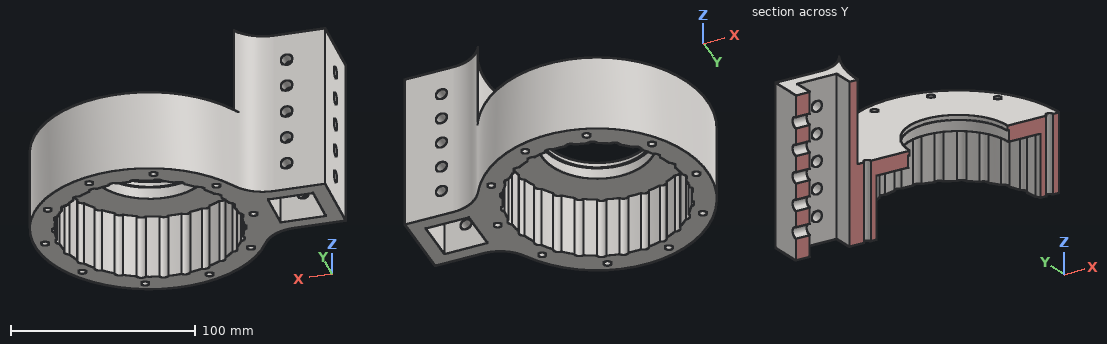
import cadquery as cq
import math

ring_diameter = 130.0
ring_radius = ring_diameter / 2
ring_height = 48.0

lip_diameter = 63.0
lip_depth = 3.0
shoulder_diameter = 65.0
cavity_top_depth = 10.0
cavity_diameter = 103.0
cavity_height = ring_height - cavity_top_depth

groove_count = 26
groove_diameter = 6.0
groove_depth = 1.4
groove_circle_radius = cavity_diameter / 2 + groove_depth - groove_diameter / 2

bolt_count = 10
bolt_diameter = 4.2
bolt_circle_radius = 58.8

overall_length = 170.0
post_height = 98.0
post_width = 41.3
post_left = ring_radius - overall_length
flare_radius = 22.3
socket_size = 25.5
socket_end_wall = 9.0
socket_center_x = post_left + socket_end_wall + socket_size / 2

cross_hole_count = 5
cross_hole_diameter = 6.5
cross_hole_pitch = post_height / (cross_hole_count + 1)


def cylinder(diameter, height):
    """Upright cylinder on the Z axis, standing on Z = 0."""
    return cq.Workplane("XY").circle(diameter / 2).extrude(height)


def polar_cylinders(count, circle_radius, diameter, height):
    """Upright cylinders standing on Z = 0, equally spaced around the Z axis from +X."""
    return (
        cq.Workplane("XY")
        .polarArray(circle_radius, 0, 360, count)
        .circle(diameter / 2)
        .extrude(height)
    )


def make_post():
    """Post whose sides flare out in arcs tangent to the ring and whose +X face hugs the ring."""
    half_width = post_width / 2

    flare_center_y = half_width + flare_radius
    center_distance = ring_radius + flare_radius
    flare_center_x = -math.sqrt(center_distance**2 - flare_center_y**2)
    tip_x = flare_center_x * ring_radius / center_distance
    tip_y = flare_center_y * ring_radius / center_distance

    start_angle = -math.pi / 2
    end_angle = math.atan2(-flare_center_y, -flare_center_x)
    mid_angle = (start_angle + end_angle) / 2
    mid_x = flare_center_x + flare_radius * math.cos(mid_angle)
    mid_y = flare_center_y + flare_radius * math.sin(mid_angle)

    return (
        cq.Workplane("XY")
        .moveTo(post_left, -half_width)
        .lineTo(flare_center_x, -half_width)
        .threePointArc((mid_x, -mid_y), (tip_x, -tip_y))
        .threePointArc((-ring_radius, 0), (tip_x, tip_y))
        .threePointArc((mid_x, mid_y), (flare_center_x, half_width))
        .lineTo(post_left, half_width)
        .close()
        .extrude(post_height)
    )


def make_bore():
    """Lip, shoulder and grooved cavity of the ring, as one solid to remove."""
    lip = cylinder(lip_diameter, ring_height)
    shoulder = cylinder(shoulder_diameter, ring_height - lip_depth)
    cavity = cylinder(cavity_diameter, cavity_height)
    grooves = polar_cylinders(groove_count, groove_circle_radius, groove_diameter, cavity_height)
    return lip.union(shoulder).union(cavity).union(grooves)


def make_socket():
    """Square socket running the full height of the post."""
    return (
        cq.Workplane("XY")
        .center(socket_center_x, 0)
        .rect(socket_size, socket_size)
        .extrude(post_height)
    )


def make_cross_holes():
    """Holes through both side walls along Y, and through the end wall along X into the socket."""
    hole_heights = [cross_hole_pitch * (i + 1) for i in range(cross_hole_count)]
    side_holes = (
        cq.Workplane("XZ")
        .pushPoints([(socket_center_x, z) for z in hole_heights])
        .circle(cross_hole_diameter / 2)
        .extrude(post_width / 2, both=True)
    )
    end_holes = (
        cq.Workplane("YZ", origin=(post_left, 0, 0))
        .pushPoints([(0, z) for z in hole_heights])
        .circle(cross_hole_diameter / 2)
        .extrude(socket_center_x - post_left)
    )
    return side_holes.union(end_holes)


ring = cylinder(ring_diameter, ring_height)
bolt_holes = polar_cylinders(bolt_count, bolt_circle_radius, bolt_diameter, ring_height)

result = (
    ring.union(make_post())
    .cut(make_bore())
    .cut(bolt_holes)
    .cut(make_socket())
    .cut(make_cross_holes())
)